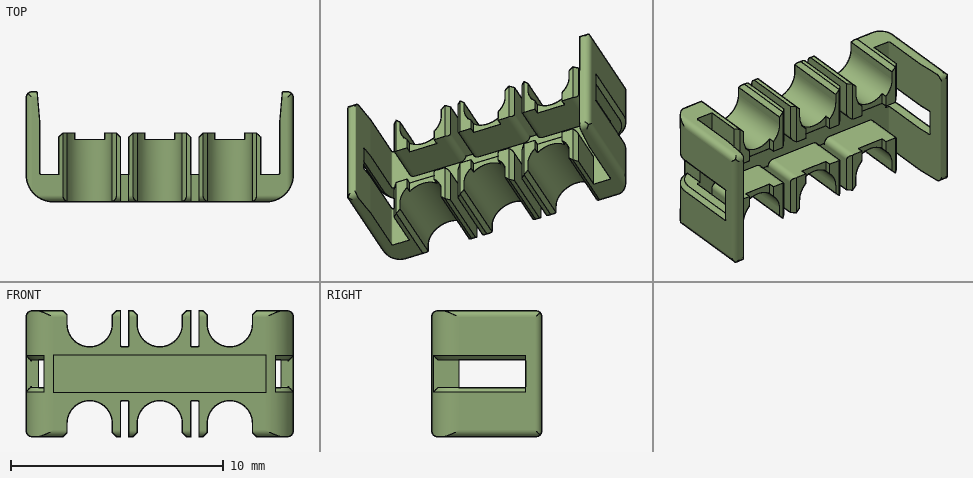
import cadquery as cq

length = 12.6
depth = 5.2
height = 5.95
half_length = length / 2
half_height = height / 2

base_depth = 1.3
corner_radius = 1.3
edge_radius = 0.3
plate_thickness = 0.65
plate_tip_thickness = 0.53
plate_taper_length = 1.45
tip_inner_radius = 0.08
inner_corner_radius = 0.06

clips_per_row = 3
clip_pitch = 3.3
clip_gap = 0.38
clip_width = clip_pitch - clip_gap
clip_back = 3.25
clip_back_chamfer = 0.2
clip_floor = 0.28
clip_bottom_radius = 0.3
bore_radius = 1.06
bore_bottom = 1.27
bore_center = bore_bottom + bore_radius
mouth_chamfer = 0.2
notch_width = 1.4
notch_depth = 0.3

slot_corner_radius = 0.06

channel_length = length - 2 * corner_radius
channel_height = 1.79
channel_depth = 0.9

window_height = 1.31
window_back = 4.44
window_inset = 0.85
window_chamfer = 0.2
window_corner_radius = 0.06

clip_centers = [(i - (clips_per_row - 1) / 2) * clip_pitch for i in range(clips_per_row)]
slot_centers = [x + clip_pitch / 2 for x in clip_centers[:-1]]

clearance = 0.63


def block(x_range, y_range, z_range):
    """Axis-aligned box between the given limits."""
    sizes = [high - low for low, high in (x_range, y_range, z_range)]
    corner = (x_range[0], y_range[0], z_range[0])
    return cq.Workplane("XY").box(*sizes, centered=False).translate(corner)


def mirror_rows(upper):
    """The given upper-row shape together with its mirror image below."""
    return upper.union(upper.mirror("XY"))


def make_frame():
    """U-shaped outline with tapered plate tips, extruded over the full height."""
    inner_x = half_length - plate_thickness
    tip_x = half_length - plate_tip_thickness
    taper_y = depth - plate_taper_length
    outline = [
        (-half_length, 0), (half_length, 0), (half_length, depth), (tip_x, depth),
        (inner_x, taper_y), (inner_x, base_depth), (-inner_x, base_depth),
        (-inner_x, taper_y), (-tip_x, depth), (-half_length, depth),
    ]
    frame = cq.Workplane("XY").polyline(outline).close().extrude(half_height, both=True)
    frame = frame.edges("|Z and <Y").fillet(corner_radius)
    for x, y, radius in (
        (half_length, depth, edge_radius),
        (tip_x, depth, tip_inner_radius),
        (inner_x, base_depth, inner_corner_radius),
    ):
        for side in (1, -1):
            corner = cq.selectors.NearestToPointSelector((side * x, y, 0))
            frame = frame.edges("|Z").edges(corner).fillet(radius)
    return frame


def cut_windows(frame):
    """End-plate windows with their long outer edges chamfered."""
    half_window = window_height / 2
    wall_x = half_length - window_inset
    for side in (1, -1):
        x_range = sorted((side * wall_x, side * (half_length + clearance)))
        frame = frame.cut(block(x_range, (-clearance, window_back), (-half_window, half_window)))
    for side in (1, -1):
        for z in (half_window, -half_window):
            straight = cq.selectors.NearestToPointSelector(
                (side * half_length, (corner_radius + window_back) / 2, z)
            )
            frame = frame.edges("|Y").edges(straight).chamfer(window_chamfer)
            corner = cq.selectors.NearestToPointSelector(
                (side * (half_length - plate_thickness), window_back, z)
            )
            frame = frame.edges("|X").edges(corner).fillet(window_corner_radius)
    return frame


def make_clip(x):
    """Solid upper-row cradle with chamfered back corners and a rounded underside."""
    clip = block(
        (x - clip_width / 2, x + clip_width / 2),
        (0, clip_back),
        (bore_bottom - clip_floor, half_height),
    )
    clip = clip.edges("|Z and >Y").chamfer(clip_back_chamfer)
    return clip.edges("|Y and <Z").fillet(clip_bottom_radius)


def make_bore(x):
    """Upper-row bore with straight sides and a flared mouth."""
    mouth_z = half_height - bore_center
    flare_z = mouth_z - mouth_chamfer
    flare_x = bore_radius + mouth_chamfer
    return (
        cq.Workplane("XZ", origin=(x, 0, bore_center))
        .moveTo(-bore_radius, 0)
        .threePointArc((0, -bore_radius), (bore_radius, 0))
        .lineTo(bore_radius, flare_z)
        .lineTo(flare_x, mouth_z)
        .lineTo(-flare_x, mouth_z)
        .lineTo(-bore_radius, flare_z)
        .close()
        .extrude(-depth)
    )


def make_slot(x):
    """Upper-row slot through the base, with rounded bottom corners."""
    slot = block(
        (x - clip_gap / 2, x + clip_gap / 2), (0, base_depth), (bore_bottom, half_height)
    )
    return slot.edges("|Y and <Z").fillet(slot_corner_radius)


def make_notch(x):
    """Notch across the back of both clips at one position."""
    return block(
        (x - notch_width / 2, x + notch_width / 2),
        (clip_back - notch_depth, clip_back),
        (-bore_center, bore_center),
    )


def trim_outer_edges(body):
    """Round the outer long edges, leaving mitred joints where they meet."""
    front_limit = (
        cq.Workplane("XZ").rect(length, height).extrude(-depth).edges("|Y").fillet(edge_radius)
    )
    side_limit = (
        cq.Workplane("YZ").center(depth / 2, 0).rect(depth, height)
        .extrude(half_length, both=True).edges("|X").fillet(edge_radius)
    )
    return body.intersect(front_limit).intersect(side_limit)


body = cut_windows(make_frame())
body = body.cut(
    block(
        (-channel_length / 2, channel_length / 2),
        (0, channel_depth),
        (-channel_height / 2, channel_height / 2),
    )
)
for x in clip_centers:
    body = body.union(mirror_rows(make_clip(x)))
for x in clip_centers:
    body = body.cut(mirror_rows(make_bore(x))).cut(make_notch(x))
for x in slot_centers:
    body = body.cut(mirror_rows(make_slot(x)))

result = trim_outer_edges(body)